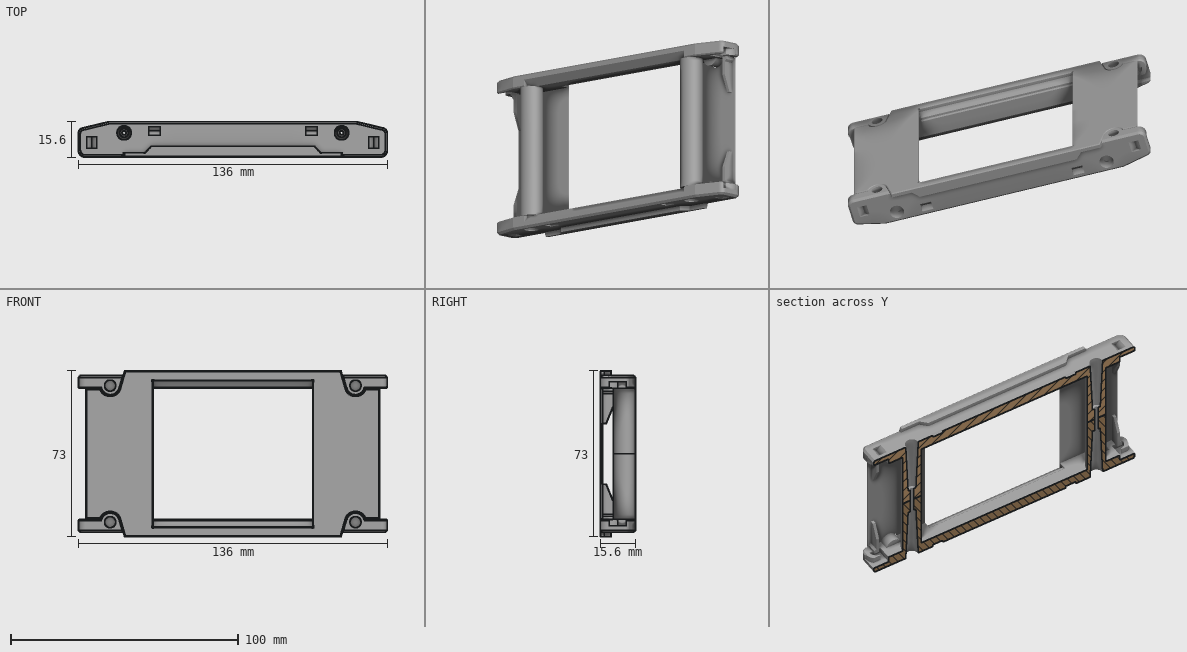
import cadquery as cq
import math

LENGTH = 136.0
DEPTH = 15.6
HEIGHT = 73.0
HALF_LENGTH = LENGTH / 2
HALF_HEIGHT = HEIGHT / 2

RAIL_OUTER = 34.5
RAIL_INNER = 28.8
REAR_FLAT_HALF = 54.4
END_REAR_Y = 12.4
FRONT_CORNER_R = 3.0
REAR_CORNER_R = 2.5
OUTER_CHAMFER = 1.0
INNER_CHAMFER = 0.5
REAR_BEVEL = 3.1

COLUMN_X = 47.9
COLUMN_DIAMETER = 9.9
COLUMN_R = COLUMN_DIAMETER / 2
COLUMN_Y = DEPTH - COLUMN_R
BORE_TOP_R = 3.1
BORE_FLOOR_R = 1.9
BORE_FLOOR_Z = 6.8
SCREW_R = 0.8

BOSS_X = 54.0
BOSS_Z = 30.0
BOSS_R = 4.1
BOSS_DEPTH = 5.5
BOSS_HOLE_R = 2.5
BOSS_HOLE_DEPTH = 2.7
NOTCH_TILT = math.radians(16)
NOTCH_GAP = 0.3

GUSSET_X = 63.2
GUSSET_THICKNESS = 1.4
GUSSET_ROOT_Y = 5.7
GUSSET_SHOULDER_Z = 20.7
GUSSET_TIP_Y = 2.7
GUSSET_TIP_Z = 13.3
FOOT_BEVEL = 1.0
FOOT_HEIGHT = 2.3

END_POCKET_X = 62.0
END_POCKET_Y = 6.4
END_POCKET_WIDTH = 4.4
MID_POCKET_X = 34.5
MID_POCKET_Y = 11.5
MID_POCKET_WIDTH = 3.8
POCKET_LENGTH = 5.0

CHANNEL_LENGTH = 7.9
CHANNEL_FRONT_Y = 4.0
CHANNEL_REAR_Y = 11.5
CHANNEL_TOP_Z = 31.7
HOOK_INSET = 0.3
HOOK_OUTER_R = 5.5
HOOK_WALL = 1.9
HOOK_TIP_Y = 7.9

PLATE_THICKNESS = 1.1
PLATE_HALF_LENGTH = 64.7
WINDOW_HALF_X = 35.1
WINDOW_HALF_Z = 32.1
CORNER_RELIEF_R = 0.5
PLATE_EDGE_BEVEL = 0.4
LIP_DEPTH = 1.9
RIM_DEPTH = 4.9
RIM_FRONT_HALF = 39.5
RIM_REAR_HALF = 35.8
RIM_LAND_Y = 1.8
RIM_SLOPE_Y = 3.4
RIM_STEP = 0.5


def notch_prism(radius, edge_z, depth):
    """Region of one upper left bezel corner given over to the boss: a strip, an arc and a leaning side."""
    start_x = -BOSS_X - math.sqrt(radius**2 - (BOSS_Z - edge_z) ** 2)
    tangent_x = -BOSS_X + radius * math.cos(NOTCH_TILT)
    tangent_z = BOSS_Z - radius * math.sin(NOTCH_TILT)
    top_x = tangent_x + (HALF_HEIGHT - tangent_z) * math.tan(NOTCH_TILT)
    return (
        cq.Workplane("XZ")
        .moveTo(-HALF_LENGTH, HALF_HEIGHT)
        .lineTo(-HALF_LENGTH, edge_z)
        .lineTo(start_x, edge_z)
        .threePointArc((-BOSS_X, BOSS_Z - radius), (tangent_x, tangent_z))
        .lineTo(top_x, HALF_HEIGHT)
        .close()
        .extrude(-depth)
    )


def both_sides(left):
    """A left-hand feature together with its mirror image on the right."""
    return left.union(left.mirror("YZ"))


def rim_prism():
    """Trapezoid that stands behind the bezel plate above the window."""
    return (
        cq.Workplane("XY", origin=(0, 0, RAIL_INNER))
        .polyline([
            (-RIM_FRONT_HALF, PLATE_THICKNESS),
            (-RIM_REAR_HALF, RIM_DEPTH),
            (RIM_REAR_HALF, RIM_DEPTH),
            (RIM_FRONT_HALF, PLATE_THICKNESS),
        ])
        .close()
        .extrude(HALF_HEIGHT - RAIL_INNER)
    )


def box(x0, x1, y0, y1, z0, z1):
    """Box given by its limits along X, Y and Z."""
    return cq.Workplane("XY").box(x1 - x0, y1 - y0, z1 - z0, centered=False).translate((x0, y0, z0))


def rail_bar():
    """Bar with slanted rear ends; its front layer remains only beside the bezel."""
    bar = (
        cq.Workplane("XY", origin=(0, 0, RAIL_INNER))
        .polyline([
            (-HALF_LENGTH, 0),
            (HALF_LENGTH, 0),
            (HALF_LENGTH, END_REAR_Y),
            (REAR_FLAT_HALF, DEPTH),
            (-REAR_FLAT_HALF, DEPTH),
            (-HALF_LENGTH, END_REAR_Y),
        ])
        .close()
        .extrude(RAIL_OUTER - RAIL_INNER)
    )
    bar = bar.edges("|Z and <Y").fillet(FRONT_CORNER_R)
    bar = bar.edges("|Z and (<X or >X)").fillet(REAR_CORNER_R)
    bar = bar.faces(">Z").chamfer(OUTER_CHAMFER)
    bar = bar.faces("<Z").chamfer(INNER_CHAMFER)
    front_layer = box(-HALF_LENGTH, HALF_LENGTH, 0, PLATE_THICKNESS, RAIL_INNER, RAIL_OUTER)
    pads = both_sides(notch_prism(BOSS_R, RAIL_INNER, PLATE_THICKNESS))
    return bar.cut(front_layer.cut(pads))


def rear_bevel():
    """Wedge taken off the inner rear edge between the columns."""
    return (
        cq.Workplane("YZ", origin=(-COLUMN_X, 0, 0))
        .polyline([
            (DEPTH, RAIL_INNER),
            (DEPTH - REAR_BEVEL, RAIL_INNER),
            (DEPTH, RAIL_INNER + REAR_BEVEL),
        ])
        .close()
        .extrude(2 * COLUMN_X)
    )


def boss():
    """Half-round bulge of the rail around a front screw hole."""
    return (
        cq.Workplane("XZ")
        .moveTo(-BOSS_X - BOSS_R, BOSS_Z)
        .threePointArc((-BOSS_X, BOSS_Z - BOSS_R), (-BOSS_X + BOSS_R, BOSS_Z))
        .close()
        .extrude(-BOSS_DEPTH)
    )


def boss_hole():
    return cq.Workplane("XZ").center(-BOSS_X, BOSS_Z).circle(BOSS_HOLE_R).extrude(-BOSS_HOLE_DEPTH)


def column():
    return cq.Workplane("XY").center(-COLUMN_X, COLUMN_Y).circle(COLUMN_R).extrude(RAIL_INNER)


def column_bore():
    """Tapered counterbore from the outer face, then a screw hole down to the joint."""
    return (
        cq.Workplane("XZ", origin=(-COLUMN_X, COLUMN_Y, 0))
        .polyline([
            (0, 0),
            (SCREW_R, 0),
            (SCREW_R, BORE_FLOOR_Z),
            (BORE_FLOOR_R, BORE_FLOOR_Z),
            (BORE_TOP_R, RAIL_OUTER),
            (0, RAIL_OUTER),
        ])
        .close()
        .revolve(360, (0, 0, 0), (0, 1, 0))
    )


def gusset():
    return (
        cq.Workplane("YZ", origin=(-GUSSET_X, 0, 0))
        .polyline([
            (PLATE_THICKNESS, RAIL_INNER),
            (GUSSET_ROOT_Y, RAIL_INNER),
            (GUSSET_ROOT_Y, GUSSET_SHOULDER_Z),
            (GUSSET_TIP_Y, GUSSET_TIP_Z),
            (PLATE_THICKNESS, GUSSET_TIP_Z),
        ])
        .close()
        .extrude(GUSSET_THICKNESS)
    )


def gusset_foot():
    """Bevelled foot that widens the gusset outward where it meets the rail."""
    low_z = RAIL_INNER - FOOT_HEIGHT
    return (
        cq.Workplane("XZ", origin=(0, PLATE_THICKNESS, 0))
        .polyline([
            (-GUSSET_X, RAIL_INNER),
            (-GUSSET_X, low_z),
            (-GUSSET_X - FOOT_BEVEL, low_z + FOOT_BEVEL),
            (-GUSSET_X - FOOT_BEVEL, RAIL_INNER),
        ])
        .close()
        .extrude(PLATE_THICKNESS - GUSSET_ROOT_Y)
    )


def v_groove(plane, width):
    """V-shaped groove of the standard pocket length, centred on the origin and opening upward."""
    return (
        cq.Workplane(plane)
        .polyline([(-width / 2, 0), (width / 2, 0), (0, -width / 2)])
        .close()
        .extrude(POCKET_LENGTH / 2, both=True)
    )


def pockets():
    end_pocket = v_groove("XZ", END_POCKET_WIDTH).translate((-END_POCKET_X, END_POCKET_Y, RAIL_OUTER))
    mid_pocket = v_groove("YZ", MID_POCKET_WIDTH).translate((-MID_POCKET_X, MID_POCKET_Y, RAIL_OUTER))
    return end_pocket.union(mid_pocket)


def end_channel():
    """Channel open to the inner and end faces that leaves a curved hook wall standing at its front."""
    inner_x = -HALF_LENGTH + CHANNEL_LENGTH
    channel = box(-HALF_LENGTH, inner_x, CHANNEL_FRONT_Y, CHANNEL_REAR_Y, RAIL_INNER, CHANNEL_TOP_Z)
    hook_ring = (
        cq.Workplane("XY", origin=(-HALF_LENGTH + HOOK_INSET + HOOK_OUTER_R, CHANNEL_FRONT_Y, RAIL_INNER))
        .circle(HOOK_OUTER_R)
        .circle(HOOK_OUTER_R - HOOK_WALL)
        .extrude(CHANNEL_TOP_Z - RAIL_INNER)
    )
    hook_zone = box(
        -HALF_LENGTH, -HALF_LENGTH + HOOK_OUTER_R, 0, HOOK_TIP_Y, RAIL_INNER, CHANNEL_TOP_Z
    )
    return channel.cut(hook_ring.intersect(hook_zone))


def make_upper_rail():
    rail = rail_bar().cut(rear_bevel())
    for feature in (boss(), column(), gusset().union(gusset_foot())):
        rail = rail.union(both_sides(feature))
    for hollow in (boss_hole(), column_bore(), pockets(), end_channel()):
        rail = rail.cut(both_sides(hollow))
    return rail.cut(rim_prism())


def make_rail(is_lower):
    """One rail; the lower rail mirrors the upper one."""
    rail = make_upper_rail()
    return rail.mirror("XY") if is_lower else rail


def upper_rim():
    """Rim over the window with a land, a sloped inner face and a chamfered step."""
    step_z = RAIL_INNER + RIM_STEP
    opening = (
        cq.Workplane("YZ", origin=(-WINDOW_HALF_X, 0, 0))
        .polyline([
            (0, RAIL_INNER),
            (0, WINDOW_HALF_Z),
            (RIM_LAND_Y, WINDOW_HALF_Z),
            (RIM_SLOPE_Y, step_z),
            (RIM_DEPTH - RIM_STEP, step_z),
            (RIM_DEPTH, RAIL_INNER),
        ])
        .close()
        .extrude(2 * WINDOW_HALF_X)
    )
    return rim_prism().cut(opening)


def make_bezel():
    plate = box(-PLATE_HALF_LENGTH, PLATE_HALF_LENGTH, 0, PLATE_THICKNESS, -HALF_HEIGHT, HALF_HEIGHT)
    lip = box(-PLATE_HALF_LENGTH, PLATE_HALF_LENGTH, 0, LIP_DEPTH, RAIL_OUTER, HALF_HEIGHT)
    plate = plate.union(lip).union(lip.mirror("XY"))
    notches = both_sides(notch_prism(BOSS_R + NOTCH_GAP, RAIL_INNER - NOTCH_GAP, RIM_DEPTH))
    plate = plate.cut(notches).cut(notches.mirror("XY"))
    window = box(-WINDOW_HALF_X, WINDOW_HALF_X, 0, RIM_DEPTH, -WINDOW_HALF_Z, WINDOW_HALF_Z)
    reliefs = (
        cq.Workplane("XZ")
        .rect(2 * WINDOW_HALF_X, 2 * WINDOW_HALF_Z, forConstruction=True)
        .vertices()
        .circle(CORNER_RELIEF_R)
        .extrude(-PLATE_THICKNESS)
    )
    rim = upper_rim()
    plate = plate.cut(window).faces("<Y").chamfer(PLATE_EDGE_BEVEL)
    return plate.union(rim).union(rim.mirror("XY")).cut(reliefs)


rails = [make_rail(is_lower) for is_lower in (False, True)]
bezel = make_bezel()

result = cq.Compound.makeCompound([*(rail.val() for rail in rails), bezel.val()])